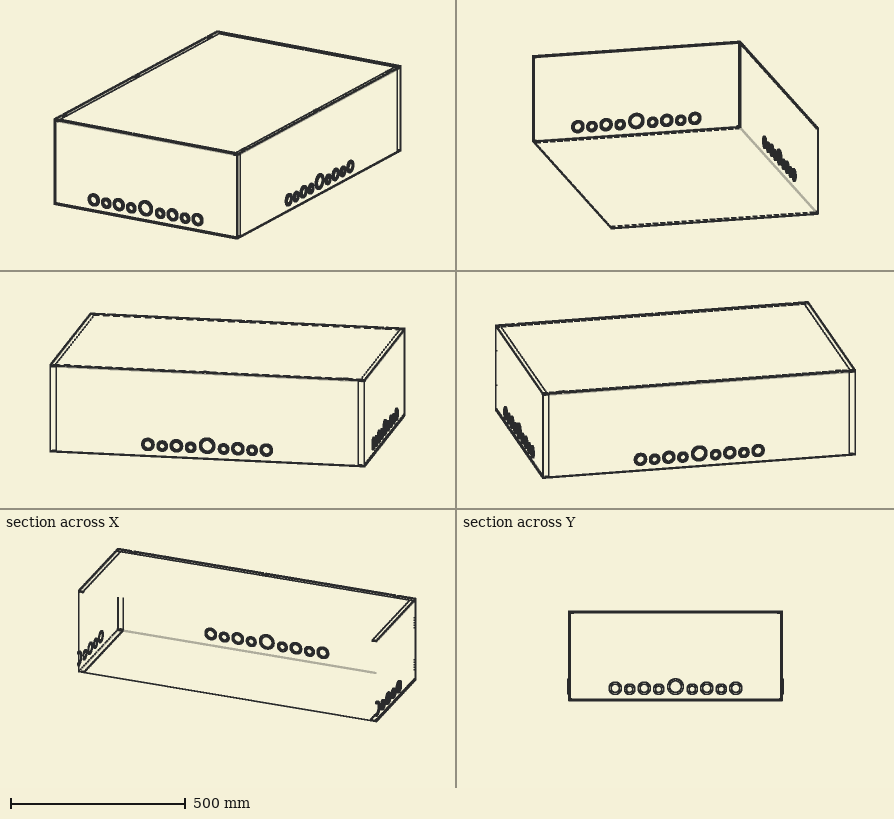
import cadquery as cq

WIDTH = 610.0
LENGTH = 915.0
HEIGHT = 256.0
SHEET = 2.0
BEND = 3.0
BEND_INSIDE = BEND - SHEET

LIP = 13.0
FLANGE = 17.5
RELIEF_START = 7.0
RELIEF_HEIGHT = 3.2
FLANGE_CLEARANCE = 4.0

TAB_PITCH = 405.0
SLOT_DEPTH = 11.0
SLOT_FRONT = -11.0
SLOT_BACK = 2.0
TAB_DEPTH = 7.0
TAB_FRONT = -1.6
TAB_BACK = 3.3

KNOCKOUT_RISE = 3.2
LARGE = (22.0, 19.0, 17.0)
MEDIUM = (17.5, 15.0, 12.0)
SMALL = (15.0, 12.0, 9.0)
KNOCKOUT_FLOOR = 18.0
KNOCKOUT_ROW = [(48.0, SMALL), (89.0, MEDIUM), (131.0, SMALL), (172.0, MEDIUM)]

HALF_X = WIDTH / 2
HALF_Y = LENGTH / 2
BOTTOM = -HEIGHT / 2
LID_TOP = HEIGHT / 2
LID_BOTTOM = LID_TOP - SHEET
TAB_STATIONS = [(side, y) for side in (-1, 1) for y in (-TAB_PITCH, 0, TAB_PITCH)]


def block(x_ends, y_ends, z_ends):
    """Box between two ends, given in either order, along each axis."""
    size = [abs(b - a) for a, b in (x_ends, y_ends, z_ends)]
    corner = [min(ends) for ends in (x_ends, y_ends, z_ends)]
    return cq.Workplane("XY").box(*size, centered=False).translate(tuple(corner))


def knockout(wall, offset, radii):
    """Stepped ring standing on the wall plane."""
    outer, step, inner = radii
    center = cq.Workplane(wall).center(offset, BOTTOM + KNOCKOUT_FLOOR + outer)
    base = center.circle(outer).circle(inner).extrude(KNOCKOUT_RISE / 2)
    return base.union(center.circle(step).circle(inner).extrude(KNOCKOUT_RISE))


def add_knockouts(panel, wall):
    """One large knockout in the middle and a mirrored row to each side of it."""
    panel = panel.union(knockout(wall, 0, LARGE))
    for offset, radii in KNOCKOUT_ROW:
        for side in (-1, 1):
            panel = panel.union(knockout(wall, side * offset, radii))
    return panel


def tab(side, y):
    """Block from a side lip up to the top of the lid."""
    x_ends = (side * HALF_X, side * (HALF_X - TAB_DEPTH))
    return block(x_ends, (y + TAB_FRONT, y + TAB_BACK), (LID_BOTTOM, LID_TOP))


def make_wrapper():
    """Bottom, both side walls and their top lips, bent from one sheet."""
    full_length = (-HALF_Y, HALF_Y)
    outside = block((-HALF_X, HALF_X), full_length, (BOTTOM, LID_BOTTOM)).edges("|Y").fillet(BEND)
    inside_x = HALF_X - SHEET
    inside = block((-inside_x, inside_x), full_length, (BOTTOM + SHEET, LID_BOTTOM - SHEET))
    inside = inside.edges("|Y").fillet(BEND_INSIDE)
    opening_x = HALF_X - LIP
    opening = block((-opening_x, opening_x), full_length, (0, LID_BOTTOM))
    body = outside.cut(inside).cut(opening)

    for side in (-1, 1):
        wall = cq.Plane(origin=(side * HALF_X, 0, 0), xDir=(0, side, 0), normal=(side, 0, 0))
        body = add_knockouts(body, wall)
    for side, y in TAB_STATIONS:
        body = body.union(tab(side, y))
    return body


def make_end_panel(end):
    """End wall at end = -1 or 1, with bottom, top and side flanges folded inward."""
    low = BOTTOM + SHEET
    high = LID_BOTTOM
    outer_y = end * HALF_Y
    inner_y = end * (HALF_Y - SHEET)
    flange_y = end * (HALF_Y - FLANGE)
    outer_folds = "|X and >Y" if end > 0 else "|X and <Y"

    bottom_x = HALF_X - 2 * SHEET - FLANGE_CLEARANCE
    bottom_span = (-bottom_x, bottom_x)
    channel = block(bottom_span, (outer_y, flange_y), (low, high)).edges(outer_folds).fillet(BEND)
    hollow = block(bottom_span, (inner_y, flange_y), (low + SHEET, high - SHEET))
    channel = channel.cut(hollow.edges(outer_folds).fillet(BEND_INSIDE))
    channel = channel.cut(block(bottom_span, (end * (HALF_Y - LIP), flange_y), (0, high)))

    for side in (-1, 1):
        side_lip = (side * (HALF_X - LIP), side * HALF_X)
        channel = channel.cut(block(side_lip, (outer_y, flange_y), (high - BEND, high)))

    wall_x = HALF_X - SHEET
    panel = channel.union(block((-wall_x, wall_x), (outer_y, inner_y), (low + BEND, high - BEND)))
    for side in (-1, 1):
        x_ends = (side * wall_x, side * (wall_x - SHEET))
        flange = block(x_ends, (outer_y, flange_y), (low + BEND_INSIDE, high - BEND))
        relief_y = (end * (HALF_Y - RELIEF_START), flange_y)
        panel = panel.union(flange.cut(block(x_ends, relief_y, (low, low + RELIEF_HEIGHT))))

    wall = cq.Plane(origin=(0, outer_y, 0), xDir=(-end, 0, 0), normal=(0, end, 0))
    return add_knockouts(panel, wall)


def make_lid():
    """Flat sheet with an open slot and a tab pocket at every station."""
    lid = block((-HALF_X, HALF_X), (-HALF_Y, HALF_Y), (LID_BOTTOM, LID_TOP))
    for side, y in TAB_STATIONS:
        slot_x = (side * HALF_X, side * (HALF_X - SLOT_DEPTH))
        lid = lid.cut(block(slot_x, (y + SLOT_FRONT, y + SLOT_BACK), (LID_BOTTOM, LID_TOP)))
        lid = lid.cut(tab(side, y))
    return lid


wrapper = make_wrapper()
end_panels = [make_end_panel(end) for end in (-1, 1)]
lid = make_lid()

result = cq.Compound.makeCompound([wrapper.val(), *[panel.val() for panel in end_panels], lid.val()])